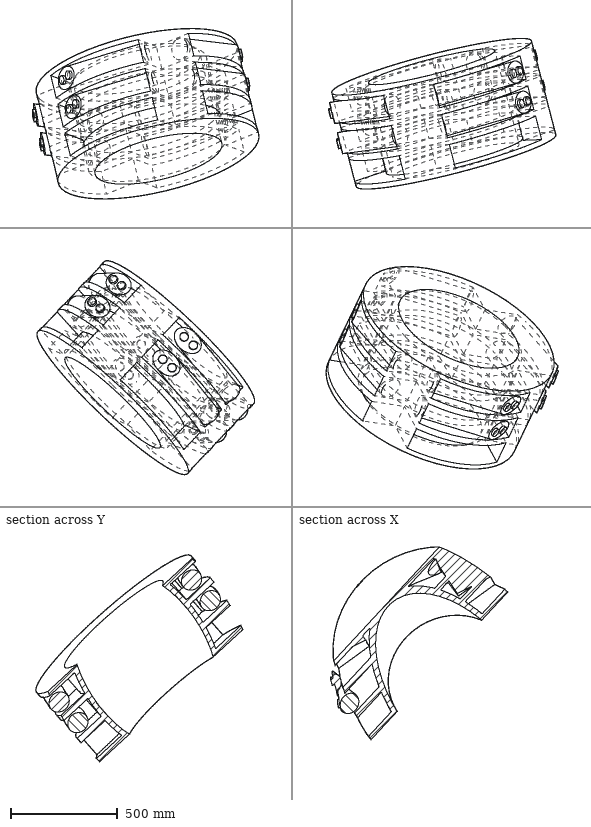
import cadquery as cq
import math

HOUSING_DIAMETER = 966.0
DRUM_DIAMETER = 661.0
BORE_DIAMETER = 610.0
HOUSING_HEIGHT = 457.0
WINDOW_HEIGHT = 114.0
WINDOW_PITCH = 146.0
WINDOW_WIDTH = HOUSING_DIAMETER / 2
WINDOW_LEVELS = (-WINDOW_PITCH, 0.0, WINDOW_PITCH)
WINDOW_ANGLES = (45.0, 135.0, 225.0, 315.0)

TUBE_DIAMETER = 102.0
TUBE_OFFSET = 409.0
TUBE_TURN = 15.0
END_CUT_ANGLE = 45.0
OUTER_REACH = 260.0
BURIED_REACH = 145.0
TUBE_LEVELS = (0.0, WINDOW_PITCH)
PIN_DIAMETER = 40.0
PIN_LENGTH = 12.0
PIN_SPACING = 59.0
PIN_SHIFT = 5.0

SLIDE = 28.0
MIRRORED_ANGLES = (45.0, 225.0)
SLID_ANGLES = (45.0, 135.0)

SPIN = 33.0
PITCH = -26.6
ROLL = -35.8

ORIGIN = (0, 0, 0)
X_AXIS = (1, 0, 0)
Y_AXIS = (0, 1, 0)
Z_AXIS = (0, 0, 1)


def make_disc(diameter):
    """A disc as tall as the housing, centred on the origin."""
    return cq.Workplane("XY").circle(diameter / 2).extrude(HOUSING_HEIGHT / 2, both=True)


def make_window(angle, level):
    """The straight-sided block that is removed for one window, before the drum is put back."""
    return (
        cq.Workplane("XY")
        .box(HOUSING_DIAMETER, WINDOW_WIDTH, WINDOW_HEIGHT, centered=(False, True, True))
        .translate((0, 0, level))
        .rotate(ORIGIN, Z_AXIS, angle)
    )


def make_housing():
    """The ring with its windows, each as deep as the drum, and its bore."""
    ring = make_disc(HOUSING_DIAMETER)
    drum = make_disc(DRUM_DIAMETER)
    for level in WINDOW_LEVELS:
        for angle in WINDOW_ANGLES:
            ring = ring.cut(make_window(angle, level).cut(drum))
    return ring.cut(make_disc(BORE_DIAMETER))


def make_tube():
    """One tube with its pins, for a window that faces +X, with the oblique end toward +Y."""
    long_reach = OUTER_REACH + TUBE_DIAMETER
    bar = (
        cq.Workplane("XZ", origin=(TUBE_OFFSET, -BURIED_REACH, 0))
        .circle(TUBE_DIAMETER / 2)
        .extrude(-(BURIED_REACH + long_reach))
    )
    across = math.sin(math.radians(END_CUT_ANGLE))
    along = math.cos(math.radians(END_CUT_ANGLE))
    end_face = cq.Plane(
        origin=(TUBE_OFFSET, OUTER_REACH, 0),
        xDir=(along, -across, 0),
        normal=(across, along, 0),
    )
    waste_size = 4 * TUBE_DIAMETER
    waste = cq.Workplane(end_face).rect(waste_size, waste_size).extrude(waste_size)
    pin_places = [(PIN_SHIFT + side * PIN_SPACING / 2, 0) for side in (-1, 1)]
    pins = cq.Workplane(end_face).pushPoints(pin_places).circle(PIN_DIAMETER / 2).extrude(PIN_LENGTH)
    return bar.cut(waste).union(pins).rotate(ORIGIN, Z_AXIS, -TUBE_TURN)


def place_tube(angle, level):
    """A tube in the window at the given angle and level."""
    tube = make_tube()
    if angle in SLID_ANGLES:
        slide_angle = math.radians(END_CUT_ANGLE - TUBE_TURN)
        tube = tube.translate((SLIDE * math.cos(slide_angle), SLIDE * math.sin(slide_angle), 0))
    if angle in MIRRORED_ANGLES:
        tube = tube.mirror("XZ")
    return tube.rotate(ORIGIN, Z_AXIS, angle).translate((0, 0, level))


def orient(body):
    """Turns a body from the ring's own axes to its final attitude."""
    return (
        body.rotate(ORIGIN, Z_AXIS, SPIN)
        .rotate(ORIGIN, Y_AXIS, PITCH)
        .rotate(ORIGIN, X_AXIS, ROLL)
    )


tubes = [place_tube(angle, level) for angle in WINDOW_ANGLES for level in TUBE_LEVELS]

housing = make_housing()
for tube in tubes:
    housing = housing.cut(tube)

result = cq.Compound.makeCompound([orient(body).val() for body in [housing, *tubes]])